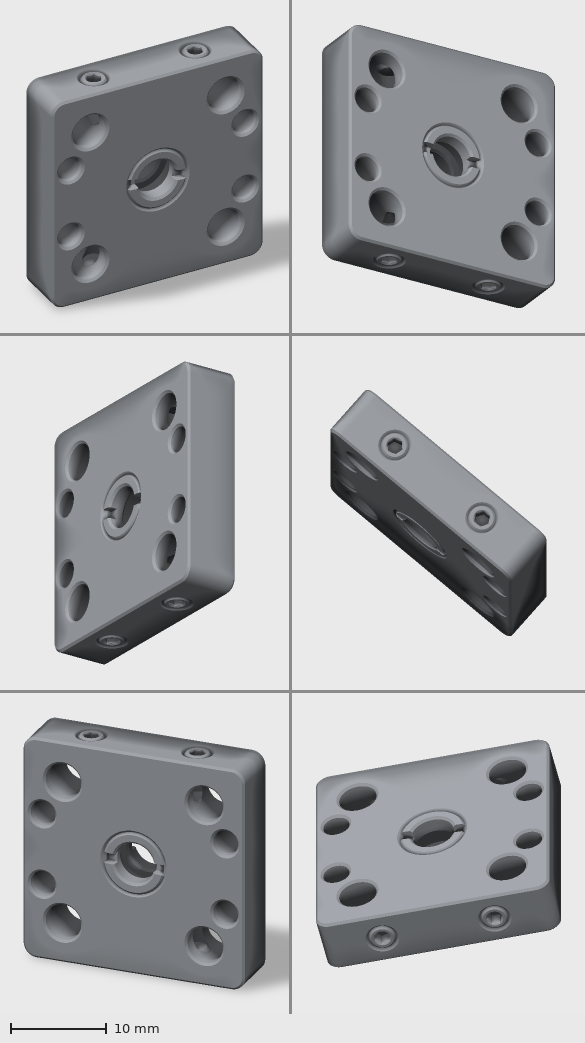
import cadquery as cq
import math

PLATE_SIZE = 25.0
PLATE_THICKNESS = 6.0
CORNER_RADIUS = 1.5
EDGE_CHAMFER = 0.25

ROD_HOLE_DIAMETER = 4.0
ROD_HOLE_OFFSET = 8.0
SIDE_HOLE_DIAMETER = 2.8
SIDE_HOLE_Y = 10.3
SIDE_HOLE_Z = 4.0
HOLE_CHAMFER = 0.25

BORE_DIAMETER = 6.5
BORE_MOUTH_DIAMETER = 7.5
RING_DIAMETER = 7.0
RING_HOLE_DIAMETER = 4.5
RING_CHAMFER = 0.25
RING_WIDTH = 2.0
SLOT_WIDTH = 1.2
SLOT_DEPTH = 1.0
SLOT_TILT = 3.5

SCREW_Y = 6.0
SCREW_DIAMETER = 3.0
SCREW_LENGTH = 3.0
SCREW_HEAD_CHAMFER = 0.3
SCREW_TIP_CHAMFER = 0.5
SOCKET_WIDTH = 1.5
SOCKET_MOUTH_DIAMETER = 1.85
SOCKET_DEPTH = 1.5
SOCKET_TURNS = (15.0, 0.0)
SCREW_HOLE_DIAMETER = 2.5
SCREW_HOLE_MOUTH_DIAMETER = 3.5
SCREW_HOLE_DEPTH = 5.0
DRILL_POINT_ANGLE = 118.0

HALF_SIZE = PLATE_SIZE / 2
HALF_THICKNESS = PLATE_THICKNESS / 2
FOUR_SIGNS = [(1, 1), (-1, 1), (-1, -1), (1, -1)]


def turned(profile):
    """Solid turned about Z from (radius, z) points, closed along the axis."""
    return cq.Workplane("XZ").polyline(profile).close().revolve(360, (0, 0, 0), (0, 1, 0))


def through_hole(diameter, mouth_diameter):
    """Cutter along X through the plate with a 45 degree chamfer at both faces."""
    radius = diameter / 2
    mouth_radius = mouth_diameter / 2
    straight_end = HALF_THICKNESS - (mouth_radius - radius)
    profile = [
        (0, -HALF_THICKNESS),
        (mouth_radius, -HALF_THICKNESS),
        (radius, -straight_end),
        (radius, straight_end),
        (mouth_radius, HALF_THICKNESS),
        (0, HALF_THICKNESS),
    ]
    return turned(profile).rotate((0, 0, 0), (0, 1, 0), 90)


def screw_hole():
    """Cutter for a countersunk blind hole in the top side, ending in a drill point."""
    radius = SCREW_HOLE_DIAMETER / 2
    mouth_radius = SCREW_HOLE_MOUTH_DIAMETER / 2
    end_z = HALF_SIZE - SCREW_HOLE_DEPTH
    point_length = radius / math.tan(math.radians(DRILL_POINT_ANGLE / 2))
    profile = [
        (0, HALF_SIZE),
        (mouth_radius, HALF_SIZE),
        (radius, HALF_SIZE - (mouth_radius - radius)),
        (radius, end_z),
        (0, end_z - point_length),
    ]
    return turned(profile).translate((0, SCREW_Y, 0))


def top_screw(socket_turn):
    """Set screw flush with the top side, tip pointing down, with a hexagon socket."""
    radius = SCREW_DIAMETER / 2
    tip_z = HALF_SIZE - SCREW_LENGTH
    profile = [
        (0, HALF_SIZE),
        (radius - SCREW_HEAD_CHAMFER, HALF_SIZE),
        (radius, HALF_SIZE - SCREW_HEAD_CHAMFER),
        (radius, tip_z + SCREW_TIP_CHAMFER),
        (radius - SCREW_TIP_CHAMFER, tip_z),
        (0, tip_z),
    ]
    mouth_radius = SOCKET_MOUTH_DIAMETER / 2
    hexagon = (
        cq.Workplane("XY", origin=(0, 0, HALF_SIZE - SOCKET_DEPTH))
        .polygon(6, SOCKET_WIDTH, circumscribed=True)
        .extrude(SOCKET_DEPTH)
        .rotate((0, 0, 0), (0, 0, 1), socket_turn)
    )
    mouth = turned([(0, HALF_SIZE), (mouth_radius, HALF_SIZE), (0, HALF_SIZE - mouth_radius)])
    screw = turned(profile).cut(hexagon).cut(mouth)
    return screw.translate((0, SCREW_Y, 0))


def around_plate(first_shape, second_shape):
    """Two top-side shapes at the four screw places: on the +Y and -Y sides, repeated below."""
    top_pair = [first_shape, second_shape.rotate((0, 0, 0), (0, 0, 1), 180)]
    bottom_pair = [shape.rotate((0, 0, 0), (1, 0, 0), 180) for shape in top_pair]
    return top_pair + bottom_pair


def left_ring():
    """Retaining ring flush with the -X face, with a screwdriver slot across that face."""
    outer = RING_DIAMETER / 2
    inner = RING_HOLE_DIAMETER / 2
    profile = [
        (inner + RING_CHAMFER, 0),
        (outer - RING_CHAMFER, 0),
        (outer, RING_CHAMFER),
        (outer, RING_WIDTH - RING_CHAMFER),
        (outer - RING_CHAMFER, RING_WIDTH),
        (inner + RING_CHAMFER, RING_WIDTH),
        (inner, RING_WIDTH - RING_CHAMFER),
        (inner, RING_CHAMFER),
    ]
    ring = turned(profile).rotate((0, 0, 0), (0, 1, 0), 90)
    slot = (
        cq.Workplane("XY")
        .box(SLOT_DEPTH, RING_DIAMETER, SLOT_WIDTH, centered=(False, True, True))
        .rotate((0, 0, 0), (1, 0, 0), SLOT_TILT)
    )
    return ring.cut(slot).translate((-HALF_THICKNESS, 0, 0))


def plate_blank():
    """Slab with rounded corners and chamfered edges around both faces."""
    return (
        cq.Workplane("YZ")
        .rect(PLATE_SIZE, PLATE_SIZE)
        .extrude(HALF_THICKNESS, both=True)
        .edges("|X")
        .fillet(CORNER_RADIUS)
        .faces("<X or >X")
        .chamfer(EDGE_CHAMFER)
    )


rings = [left_ring().rotate((0, 0, 0), (0, 0, 1), turn) for turn in (0, 180)]
screws = around_plate(*[top_screw(turn) for turn in SOCKET_TURNS])

plate = plate_blank().cut(through_hole(BORE_DIAMETER, BORE_MOUTH_DIAMETER))
rod_hole = through_hole(ROD_HOLE_DIAMETER, ROD_HOLE_DIAMETER + 2 * HOLE_CHAMFER)
side_hole = through_hole(SIDE_HOLE_DIAMETER, SIDE_HOLE_DIAMETER + 2 * HOLE_CHAMFER)
for sign_y, sign_z in FOUR_SIGNS:
    plate = plate.cut(rod_hole.translate((0, sign_y * ROD_HOLE_OFFSET, sign_z * ROD_HOLE_OFFSET)))
    plate = plate.cut(side_hole.translate((0, sign_y * SIDE_HOLE_Y, sign_z * SIDE_HOLE_Z)))
for hole in around_plate(screw_hole(), screw_hole()):
    plate = plate.cut(hole)

for body in rings + screws:
    plate = plate.cut(body)

result = cq.Compound.makeCompound(
    [
        plate.val(),
        *[ring.val() for ring in rings],
        *[screw.val() for screw in screws],
    ]
)